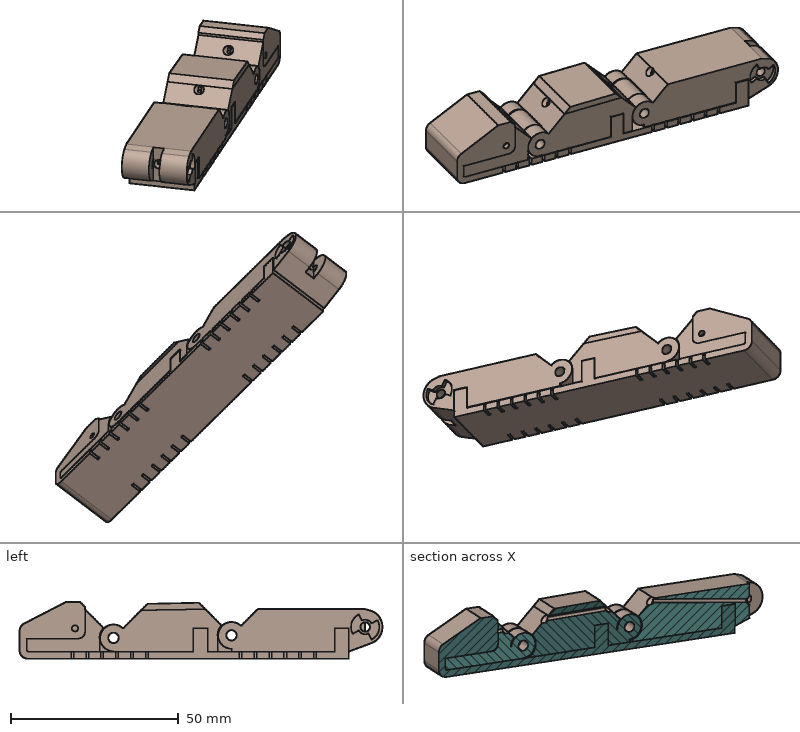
import cadquery as cq
import math


WIDTH = 20.0
JOINT_OFFSET = 0.16
DISTAL_X = 0.0
MIDDLE_X = DISTAL_X + JOINT_OFFSET
PROXIMAL_X = MIDDLE_X + JOINT_OFFSET

TIP_PIN = (80.1, 6.3)
MID_PIN = (45.0, 7.0)
PIN_HOLE_DIA = 3.0
BARREL_RADIUS = 4.0
BARREL_CLEARANCE = 0.1
SOCKET_RADIUS = BARREL_RADIUS + BARREL_CLEARANCE
KNUCKLE_WIDTH = 9.7
FORK_GAP = 10.0

ROOT_RADIUS = 5.2
ROOT_PIN = (ROOT_RADIUS, 9.5)
ROOT_HOLE_DIA = 2.8
ROOT_SLOT_WIDTH = 3.2
ROOT_DECK_END = 5.4
ROOT_FACET_END = 3.0
SPRING_HUB_RADIUS = 2.2
SPRING_WING_RADIUS = 4.2
SPRING_WING_ANGLE = 92.0
SPRING_TILT = 17.0
SPRING_DEPTH = 1.3

SOLE_HEIGHT = 2.2
PROXIMAL_DECK = 14.9
MIDDLE_DECK_ROOT = 14.8
MIDDLE_DECK_TIP = 14.5
CAP_THICKNESS = 1.9

TOTAL_LENGTH = 108.1
TOTAL_HEIGHT = 17.0
PAD_ROOT = 10.0
RIB_THICKNESS = 4.2
RIB_TOP = 9.1
RIB_STARTS = (PAD_ROOT, 52.1)
TIP_RADIUS = 2.6
TIP_SHOULDER = 9.8
CREST_TIP_Y = 94.3
CREST_ROOT_Y = 90.0
SLIT_STARTS = (20.1, 70.2)
SLIT_COUNT = 6
SLIT_PITCH = 4.4
SLIT_WIDTH = 0.8
SLIT_DEPTH = 3.2
SIDE_HOLE_DIA = 1.8
SIDE_HOLE_DEPTH = 1.8
SIDE_HOLE_CENTER = (91.5, 9.1)

TONGUE_WALL_Y = 88.5
TONGUE_TOP = 6.0
TONGUE_END_Y = 105.9
TONGUE_ROOT_RADIUS = 2.2
TONGUE_END_RADIUS = 0.6

BORE_DIA = 1.0
SLOPE_MOUTH_DIA = 3.0
SLOT_MOUTH_DIA = 2.8
PROXIMAL_MOUTH_Z = 14.2
MIDDLE_MOUTH_TIP_Z = 13.5
MIDDLE_MOUTH_ROOT_Z = 13.8
DISTAL_MOUTH_Z = 12.0

TOWARD_ROOT = -1
TOWARD_TIP = 1


def slope_point(pin, height, side):
    """Point at the given height on the 45 degree slope that rises from a hinge axis."""
    return (pin[0] + side * (height - pin[1]), height)


def tangent_point(point, center, radius):
    """Where the lower tangent from a point on the tip side touches the circle."""
    dy, dz = point[0] - center[0], point[1] - center[1]
    angle = math.atan2(dz, dy) - math.acos(radius / math.hypot(dy, dz))
    return (center[0] + radius * math.cos(angle), center[1] + radius * math.sin(angle))


def profile(x_start):
    return cq.Workplane("YZ", origin=(x_start, 0, 0))


def cylinder(center, radius, x_start, length):
    return profile(x_start).center(*center).circle(radius).extrude(length)


def block(x_range, y_range, z_range):
    size = [end - start for start, end in (x_range, y_range, z_range)]
    corner = (x_range[0], y_range[0], z_range[0])
    return cq.Workplane("XY").box(*size, centered=False).translate(corner)


def add_fork(link, pin, x_start):
    """Round the tip end of a link into two barrels, with a gap for the next link's knuckle."""
    link = link.union(cylinder(pin, BARREL_RADIUS, x_start, WIDTH))
    gap_x = x_start + (WIDTH - FORK_GAP) / 2
    link = link.cut(cylinder(pin, SOCKET_RADIUS, gap_x, FORK_GAP))
    return link.cut(cylinder(pin, PIN_HOLE_DIA / 2, x_start, WIDTH))


def add_knuckle(link, pin, x_start):
    """Hollow the root end of a link around the barrels and add its own middle barrel."""
    link = link.cut(cylinder(pin, SOCKET_RADIUS, x_start, WIDTH))
    knuckle_x = x_start + (WIDTH - KNUCKLE_WIDTH) / 2
    web = block(
        (knuckle_x, knuckle_x + KNUCKLE_WIDTH),
        (pin[0], pin[0] + SOCKET_RADIUS),
        (SOLE_HEIGHT, pin[1]),
    )
    link = link.union(cylinder(pin, BARREL_RADIUS, knuckle_x, KNUCKLE_WIDTH).union(web))
    return link.cut(cylinder(pin, PIN_HOLE_DIA / 2, x_start, WIDTH))


def countersink(x, mouth, mouth_dia, inward):
    """Cone from a mouth point (Y, Z) down to the bore size, along the inward direction."""
    depth = (mouth_dia - BORE_DIA) / 2
    return cq.Workplane(
        cq.Solid.makeCone(
            mouth_dia / 2, BORE_DIA / 2, depth, cq.Vector(x, *mouth), cq.Vector(0, *inward)
        )
    )


def bore(x, start, end):
    """Straight tendon bore between two (Y, Z) points."""
    path = cq.Vector(0, end[0] - start[0], end[1] - start[1])
    return cq.Workplane(cq.Solid.makeCylinder(BORE_DIA / 2, path.Length, cq.Vector(x, *start), path))


def pad_ribs():
    """Cross ribs of the pad, long enough in X to cut clear through any link."""
    ribs = cq.Workplane("XY")
    for start in RIB_STARTS:
        x_range = (DISTAL_X, PROXIMAL_X + WIDTH)
        ribs = ribs.union(block(x_range, (start, start + RIB_THICKNESS), (0, RIB_TOP)))
    return ribs


def spring_recess(x_start):
    """Bow-tie recess around the root hole: a hub with two opposite wings."""
    recess = cylinder(ROOT_PIN, SPRING_HUB_RADIUS, x_start, SPRING_DEPTH)
    half = SPRING_WING_ANGLE / 2
    for direction in (SPRING_TILT, SPRING_TILT + 180):
        angles = [math.radians(angle) for angle in (direction - half, direction, direction + half)]
        rim = [(SPRING_WING_RADIUS * math.cos(a), SPRING_WING_RADIUS * math.sin(a)) for a in angles]
        wing = profile(x_start).center(*ROOT_PIN).lineTo(*rim[0]).threePointArc(rim[1], rim[2])
        recess = recess.union(wing.close().extrude(SPRING_DEPTH))
    return recess


def make_proximal():
    x_mid = PROXIMAL_X + WIDTH / 2
    facet_rise = math.sqrt(ROOT_RADIUS**2 - (ROOT_PIN[0] - ROOT_FACET_END) ** 2)
    heel = (PAD_ROOT, SOLE_HEIGHT)
    link = (
        profile(PROXIMAL_X)
        .moveTo(MID_PIN[0], SOLE_HEIGHT)
        .lineTo(*MID_PIN)
        .lineTo(*slope_point(MID_PIN, PROXIMAL_DECK, TOWARD_ROOT))
        .lineTo(ROOT_DECK_END, PROXIMAL_DECK)
        .lineTo(ROOT_FACET_END, ROOT_PIN[1] + facet_rise)
        .threePointArc(
            (ROOT_PIN[0] - ROOT_RADIUS, ROOT_PIN[1]),
            tangent_point(heel, ROOT_PIN, ROOT_RADIUS),
        )
        .lineTo(*heel)
        .close()
        .extrude(WIDTH)
    )
    link = add_fork(link, MID_PIN, PROXIMAL_X).cut(pad_ribs())

    lug_width = (WIDTH - ROOT_SLOT_WIDTH) / 2
    slot_x = PROXIMAL_X + lug_width
    far_lug_x = slot_x + ROOT_SLOT_WIDTH
    link = link.cut(block((slot_x, far_lug_x), (0, ROOT_PIN[0]), (0, PROXIMAL_DECK)))
    for lug_x in (PROXIMAL_X, far_lug_x):
        link = link.cut(cylinder(ROOT_PIN, ROOT_HOLE_DIA / 2, lug_x, lug_width))
    for recess_x in (PROXIMAL_X, PROXIMAL_X + WIDTH - SPRING_DEPTH):
        link = link.cut(spring_recess(recess_x))

    mouth = slope_point(MID_PIN, PROXIMAL_MOUTH_Z, TOWARD_ROOT)
    link = link.cut(countersink(x_mid, mouth, SLOPE_MOUTH_DIA, (-1, -1)))
    link = link.cut(countersink(x_mid, ROOT_PIN, SLOT_MOUTH_DIA, (1, 0)))
    return link.cut(bore(x_mid, ROOT_PIN, mouth))


def make_middle():
    x_mid = MIDDLE_X + WIDTH / 2
    wall_y = MID_PIN[0] + SOCKET_RADIUS
    outline = [
        (TIP_PIN[0], SOLE_HEIGHT),
        TIP_PIN,
        slope_point(TIP_PIN, MIDDLE_DECK_TIP, TOWARD_ROOT),
        slope_point(MID_PIN, MIDDLE_DECK_ROOT, TOWARD_TIP),
        MID_PIN,
        (wall_y, MID_PIN[1]),
        (wall_y, SOLE_HEIGHT),
    ]
    link = profile(MIDDLE_X).polyline(outline).close().extrude(WIDTH)
    link = add_knuckle(link, MID_PIN, MIDDLE_X)
    link = add_fork(link, TIP_PIN, MIDDLE_X).cut(pad_ribs())

    tip_mouth = slope_point(TIP_PIN, MIDDLE_MOUTH_TIP_Z, TOWARD_ROOT)
    root_mouth = slope_point(MID_PIN, MIDDLE_MOUTH_ROOT_Z, TOWARD_TIP)
    link = link.cut(countersink(x_mid, tip_mouth, SLOPE_MOUTH_DIA, (-1, -1)))
    link = link.cut(countersink(x_mid, root_mouth, SLOPE_MOUTH_DIA, (1, -1)))
    return link.cut(bore(x_mid, root_mouth, tip_mouth))


def make_middle_cap():
    """Cover on the middle link's deck, its ends continuing the link's slopes."""
    outline = [
        slope_point(TIP_PIN, MIDDLE_DECK_TIP, TOWARD_ROOT),
        slope_point(TIP_PIN, MIDDLE_DECK_TIP + CAP_THICKNESS, TOWARD_ROOT),
        slope_point(MID_PIN, MIDDLE_DECK_ROOT + CAP_THICKNESS, TOWARD_TIP),
        slope_point(MID_PIN, MIDDLE_DECK_ROOT, TOWARD_TIP),
    ]
    return profile(MIDDLE_X).polyline(outline).close().extrude(WIDTH)


def distal_blank():
    """Distal link before its knuckle and bore: a sloped head and a tongue reaching into the pad."""
    wall_y = TIP_PIN[0] + SOCKET_RADIUS
    head_top = TIP_PIN[1] + TONGUE_WALL_Y - TIP_PIN[0]
    outline = [
        (wall_y, SOLE_HEIGHT),
        (wall_y, TIP_PIN[1]),
        TIP_PIN,
        (TONGUE_WALL_Y, head_top),
        (TONGUE_WALL_Y, TONGUE_TOP),
        (TONGUE_END_Y, TONGUE_TOP),
        (TONGUE_END_Y, SOLE_HEIGHT),
    ]
    blank = profile(DISTAL_X).polyline(outline).close().extrude(WIDTH)
    x_mid = DISTAL_X + WIDTH / 2
    tongue_root = cq.selectors.NearestToPointSelector((x_mid, TONGUE_WALL_Y, TONGUE_TOP))
    tongue_end = cq.selectors.NearestToPointSelector((x_mid, TONGUE_END_Y, SOLE_HEIGHT))
    return blank.edges(tongue_root).fillet(TONGUE_ROOT_RADIUS).edges(tongue_end).fillet(TONGUE_END_RADIUS)


def make_distal():
    x_mid = DISTAL_X + WIDTH / 2
    link = add_knuckle(distal_blank(), TIP_PIN, DISTAL_X)
    mouth = slope_point(TIP_PIN, DISTAL_MOUTH_Z, TOWARD_TIP)
    link = link.cut(countersink(x_mid, mouth, SLOPE_MOUTH_DIA, (1, -1)))
    return link.cut(bore(x_mid, mouth, (TONGUE_WALL_Y, DISTAL_MOUTH_Z)))


def make_pad():
    """Sole under all three links with two cross ribs, wrapping up and over the fingertip."""
    lip_z = TOTAL_HEIGHT - (CREST_ROOT_Y - TONGUE_WALL_Y)
    outline = [
        (PAD_ROOT, 0),
        (TOTAL_LENGTH, 0),
        (TOTAL_LENGTH, TIP_SHOULDER),
        (CREST_TIP_Y, TOTAL_HEIGHT),
        (CREST_ROOT_Y, TOTAL_HEIGHT),
        (TONGUE_WALL_Y, lip_z),
        (TONGUE_WALL_Y, SOLE_HEIGHT),
        (PAD_ROOT, SOLE_HEIGHT),
    ]
    pad = profile(DISTAL_X).polyline(outline).close().extrude(WIDTH)
    pad = pad.edges("|X and >Y").fillet(TIP_RADIUS)
    pad = pad.cut(distal_blank())
    sides = (DISTAL_X, DISTAL_X + WIDTH)
    pad = pad.union(pad_ribs().intersect(block(sides, (0, TOTAL_LENGTH), (0, TOTAL_HEIGHT))))

    for start in SLIT_STARTS:
        for index in range(SLIT_COUNT):
            y = start + index * SLIT_PITCH
            for x in (sides[0], sides[1] - SLIT_DEPTH):
                y_range = (y - SLIT_WIDTH / 2, y + SLIT_WIDTH / 2)
                pad = pad.cut(block((x, x + SLIT_DEPTH), y_range, (0, SOLE_HEIGHT)))

    for x in (sides[0], sides[1] - SIDE_HOLE_DEPTH):
        pad = pad.cut(cylinder(SIDE_HOLE_CENTER, SIDE_HOLE_DIA / 2, x, SIDE_HOLE_DEPTH))
    return pad


proximal = make_proximal()
middle = make_middle()
middle_cap = make_middle_cap()
distal = make_distal()
pad = make_pad()

result = cq.Compound.makeCompound(
    [body.solids().val() for body in (proximal, middle, middle_cap, distal, pad)]
)